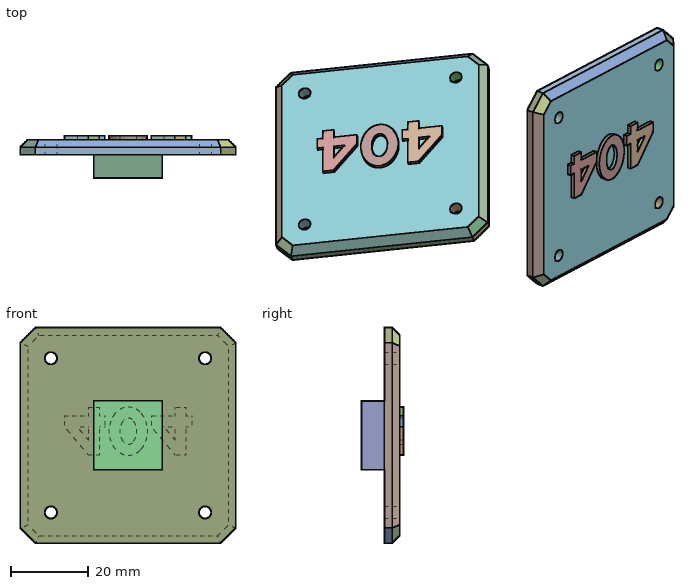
import cadquery as cq
import math

plate_size = 56.0
plate_thickness = 4.0
corner_cut = 4.0
back_edge_chamfer = 2.0

hole_diameter = 3.1
hole_spacing = 40.0

block_size = 17.85
block_height = 6.0

digit_relief = 1.0
digit_foot_z = 7.3
digit_height = 12.3
digit_pitch = 11.25
stroke_width = 2.85

four_width = 10.5
four_tab = 1.5
four_foot = 2.25
four_bar = 2.8
four_diagonal_stroke = 2.5

zero_width = 9.9
zero_overshoot = 0.15


def back_face():
    """Workplane on the back of the plate: local x is +X, local y is -Z, extruding along +Y."""
    plane = cq.Plane(origin=(0, plate_thickness, digit_foot_z), xDir=(1, 0, 0), normal=(0, 1, 0))
    return cq.Workplane(plane)


def make_plate():
    """Plate with cut corners, a chamfered back edge, four holes and the front block."""
    front_face = cq.Workplane("XZ")
    plate = front_face.rect(plate_size, plate_size).extrude(-plate_thickness)
    plate = plate.edges("|Y").chamfer(corner_cut)
    plate = plate.faces(">Y").chamfer(back_edge_chamfer)

    holes = (
        front_face.rect(hole_spacing, hole_spacing, forConstruction=True)
        .vertices()
        .circle(hole_diameter / 2)
        .extrude(-plate_thickness)
    )
    block = front_face.rect(block_size, block_size).extrude(block_height)
    return plate.cut(holes).union(block)


def make_four(center_x):
    """Raised digit 4 with a triangular opening."""
    left = center_x - four_width / 2
    right = center_x + four_width / 2
    stem_right = right - four_tab
    stem_left = stem_right - stroke_width
    bar_top = four_foot + four_bar

    outline = [
        (left, four_foot),
        (stem_left, four_foot),
        (stem_left, 0),
        (stem_right, 0),
        (stem_right, four_foot),
        (right, four_foot),
        (right, bar_top),
        (stem_right, bar_top),
        (stem_right, digit_height),
        (stem_left, digit_height),
        (left, bar_top),
    ]
    body = back_face().polyline(outline).close().extrude(digit_relief)

    run = stem_left - left
    rise = digit_height - bar_top
    corner_to_diagonal = run * rise / math.hypot(run, rise)
    opening_scale = 1 - four_diagonal_stroke / corner_to_diagonal
    triangle = [
        (stem_left, bar_top),
        (stem_left - run * opening_scale, bar_top),
        (stem_left, bar_top + rise * opening_scale),
    ]
    opening = back_face().polyline(triangle).close().extrude(digit_relief)
    return body.cut(opening)


def make_zero(center_x):
    """Raised digit 0: an elliptical ring slightly taller than the 4 at foot and top."""
    half_width = zero_width / 2
    half_height = digit_height / 2 + zero_overshoot
    return (
        back_face()
        .center(center_x, digit_height / 2)
        .ellipse(half_width, half_height)
        .ellipse(half_width - stroke_width, half_height - stroke_width)
        .extrude(digit_relief)
    )


plate = make_plate()
fours = [make_four(side * digit_pitch) for side in (-1, 1)]
zero = make_zero(0)

result = cq.Compound.makeCompound([plate.val(), zero.val(), *[four.val() for four in fours]])